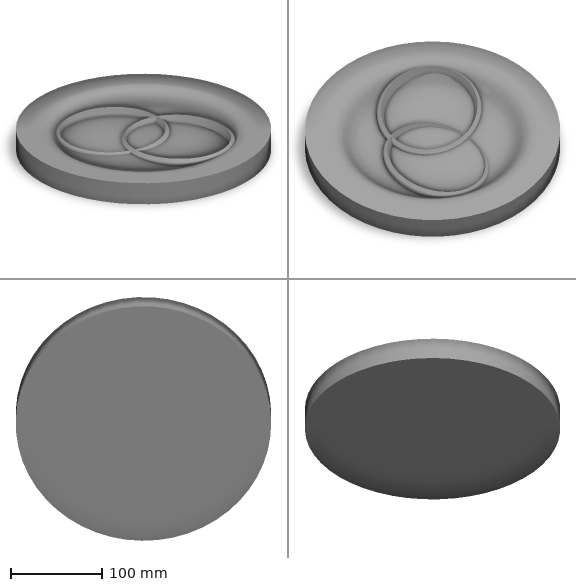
import cadquery as cq
import math

PLATE_DIAMETER = 279.3
PLATE_HEIGHT = 25.5
RECESS_RADIUS = 114.2
FLOOR_RADIUS = 85.0
RECESS_DEPTH = 12.0
FLOOR_Z = PLATE_HEIGHT - RECESS_DEPTH

INNER_LEAN = 4.5
BAND_HEIGHT = 8.7
FACET_WIDTH = 2.5
FACET_DROP = 2.0
OUTER_REACH = 4.7
OUTER_DROP = 5.0
OUTER_BULGE_REACH = 4.2
OUTER_BULGE_DROP = 3.4

UPPER_RING = dict(
    half_length=62.0,
    half_width=52.0,
    center=(35.5, 17.5),
    crest_height=8.0,
    turn=6.0,
    slope=(0.04, 0.05),
)
LOWER_RING = dict(
    half_length=59.0,
    half_width=50.0,
    center=(-31.3, -17.0),
    crest_height=6.0,
    turn=60.0,
    slope=(-0.06, 0.04),
)


def make_plate():
    """Disc whose recess wall is an S-curve, level at both the rim and the floor."""
    disc = cq.Workplane("XY").circle(PLATE_DIAMETER / 2).extrude(PLATE_HEIGHT)
    recess = (
        cq.Workplane("XZ")
        .moveTo(0, FLOOR_Z)
        .lineTo(FLOOR_RADIUS, FLOOR_Z)
        .spline([(RECESS_RADIUS, PLATE_HEIGHT)], tangents=[(1, 0), (1, 0)], includeCurrent=True)
        .lineTo(0, PLATE_HEIGHT)
        .close()
        .revolve(360, (0, 0, 0), (0, 1, 0))
    )
    return disc.cut(recess)


def make_ring(half_length, half_width, center, crest_height, turn, slope):
    """Oval band with a leaning inner wall, an outer facet and a rounded outside."""
    path = cq.Workplane("XY").ellipse(half_length, half_width)
    band = (
        cq.Workplane("XZ", origin=(half_length, 0, 0))
        .moveTo(0, 0)
        .lineTo(FACET_WIDTH, -FACET_DROP)
        .threePointArc((OUTER_BULGE_REACH, -OUTER_BULGE_DROP), (OUTER_REACH, -OUTER_DROP))
        .lineTo(OUTER_REACH, -BAND_HEIGHT)
        .lineTo(-INNER_LEAN, -BAND_HEIGHT)
        .close()
        .sweep(path)
    )
    slope_x, slope_y = slope
    tilt = math.degrees(math.atan(math.hypot(slope_x, slope_y)))
    return (
        band.rotate((0, 0, 0), (0, 0, 1), turn)
        .rotate((0, 0, 0), (slope_y, -slope_x, 0), tilt)
        .translate((*center, FLOOR_Z + crest_height))
    )


upper_ring = make_ring(**UPPER_RING)
lower_ring = make_ring(**LOWER_RING).cut(upper_ring)

plate = make_plate().cut(upper_ring).cut(lower_ring)

result = cq.Compound.makeCompound([plate.val(), upper_ring.val(), lower_ring.val()])